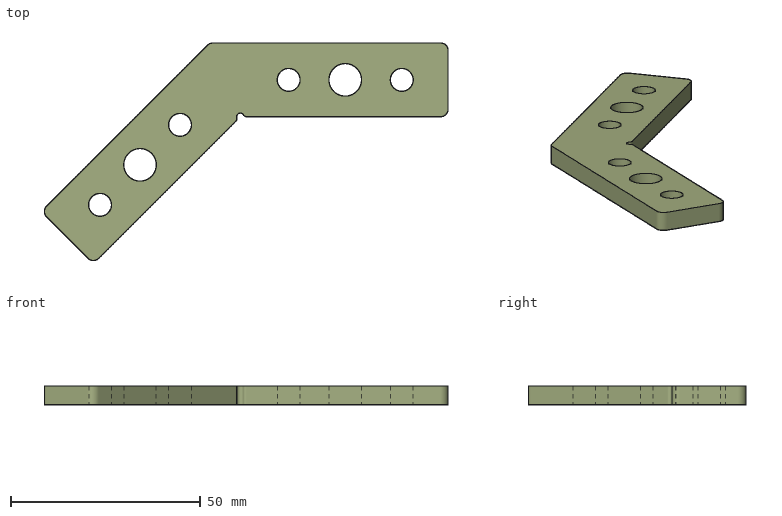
import cadquery as cq
import math

length = 106.8
thickness = 5.0
arm_width = 19.6
bend_angle = 45.0
corner_radius = 2.0
relief_radius = 1.0
relief_edge_radius = 1.0
small_hole_diameter = 6.0
large_hole_diameter = 8.5
hole_pitch = 15.0
end_to_large_hole = 27.2

turn = math.radians(bend_angle)
corner_trim = corner_radius * (math.sin(turn) + math.cos(turn) - 1)
outer_length = (length + corner_trim) / (1 + math.cos(turn))
elbow_offset = arm_width * math.tan(turn / 2)
inner_length = outer_length - elbow_offset


def make_arm():
    """Arm along +X with its outer side on +Y and a mitred elbow end."""
    arm = (
        cq.Workplane("XY")
        .moveTo(0, 0)
        .lineTo(inner_length, 0)
        .lineTo(inner_length, arm_width)
        .lineTo(-elbow_offset, arm_width)
        .close()
        .extrude(thickness)
    )
    arm = arm.edges("|Z and >X").fillet(corner_radius)
    large_hole_x = inner_length - end_to_large_hole
    holes = (
        (large_hole_x - hole_pitch, small_hole_diameter),
        (large_hole_x, large_hole_diameter),
        (large_hole_x + hole_pitch, small_hole_diameter),
    )
    for x, diameter in holes:
        cutter = cq.Workplane("XY").center(x, arm_width / 2).circle(diameter / 2).extrude(thickness)
        arm = arm.cut(cutter)
    return arm


def add_elbow_relief(body):
    """Cut the round relief at the inner corner and round its two mouth edges."""
    relief = cq.Workplane("XY").circle(relief_radius).extrude(thickness)
    body = body.cut(relief)
    mouth_reach = 2 * relief_radius
    near_corner = cq.selectors.BoxSelector(
        (-mouth_reach, -mouth_reach, 0),
        (mouth_reach, mouth_reach, thickness),
    )
    return body.edges("|Z").edges(near_corner).fillet(relief_edge_radius)


arm = make_arm()
second_arm = arm.mirror("YZ").rotate((0, 0, 0), (0, 0, 1), bend_angle)
bracket = arm.union(second_arm).clean()
outer_elbow = cq.selectors.NearestToPointSelector((-elbow_offset, arm_width, thickness / 2))
bracket = bracket.edges("|Z").edges(outer_elbow).fillet(corner_radius)
result = add_elbow_relief(bracket)